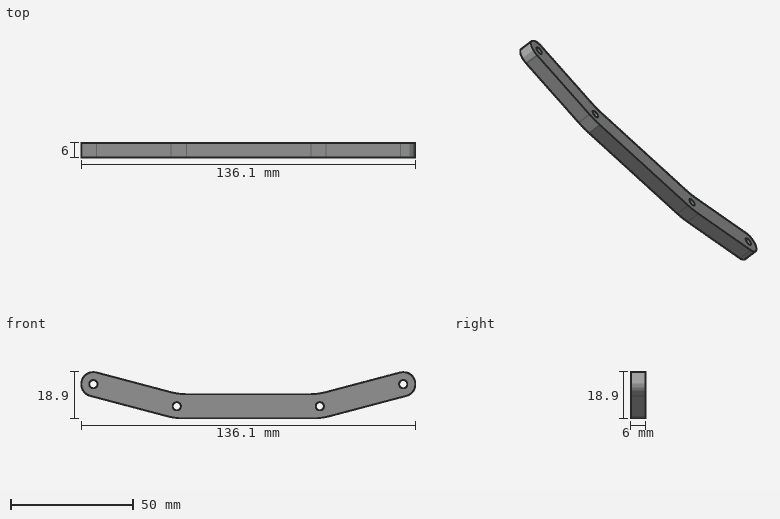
import cadquery as cq
import math

length = 136.1
height = 18.9
thickness = 6.0
bar_width = 10.0
bend_radius = 24.2
hole_diameter = 3.3
inner_hole_x = 29.1

end_radius = bar_width / 2
middle_z = end_radius
end_x = length / 2 - end_radius
end_z = height - end_radius

arm_angle = math.atan2(end_z - middle_z, end_x - inner_hole_x)
half_angle_tangent = math.tan(arm_angle / 2)


def bend_point(edge_z, angle):
    """Point on the right-hand bend of the edge at edge_z, with the angle from straight down."""
    corner_x = inner_hole_x + (middle_z - edge_z) * half_angle_tangent
    centre_x = corner_x - bend_radius * half_angle_tangent
    centre_z = edge_z + bend_radius
    return (centre_x + bend_radius * math.sin(angle), centre_z - bend_radius * math.cos(angle))


def end_point(angle):
    """Point on the right-hand rounded end, with the angle measured from straight down."""
    return (end_x + end_radius * math.sin(angle), end_z - end_radius * math.cos(angle))


def mirrored(point):
    """Matching point on the left-hand half."""
    return (-point[0], point[1])


lower_start = bend_point(0, 0)
lower_middle = bend_point(0, arm_angle / 2)
lower_end = bend_point(0, arm_angle)
upper_start = bend_point(bar_width, 0)
upper_middle = bend_point(bar_width, arm_angle / 2)
upper_end = bend_point(bar_width, arm_angle)
tip_lower = end_point(arm_angle)
tip_middle = end_point(arm_angle + math.pi / 2)
tip_upper = end_point(arm_angle + math.pi)

bar = (
    cq.Workplane("XZ")
    .moveTo(*mirrored(lower_start))
    .lineTo(*lower_start)
    .threePointArc(lower_middle, lower_end)
    .lineTo(*tip_lower)
    .threePointArc(tip_middle, tip_upper)
    .lineTo(*upper_end)
    .threePointArc(upper_middle, upper_start)
    .lineTo(*mirrored(upper_start))
    .threePointArc(mirrored(upper_middle), mirrored(upper_end))
    .lineTo(*mirrored(tip_upper))
    .threePointArc(mirrored(tip_middle), mirrored(tip_lower))
    .lineTo(*mirrored(lower_end))
    .threePointArc(mirrored(lower_middle), mirrored(lower_start))
    .close()
    .extrude(thickness / 2, both=True)
)

right_holes = [(end_x, end_z), (inner_hole_x, middle_z)]
hole_centres = right_holes + [mirrored(centre) for centre in right_holes]
holes = (
    cq.Workplane("XZ")
    .pushPoints(hole_centres)
    .circle(hole_diameter / 2)
    .extrude(thickness, both=True)
)

result = bar.cut(holes)